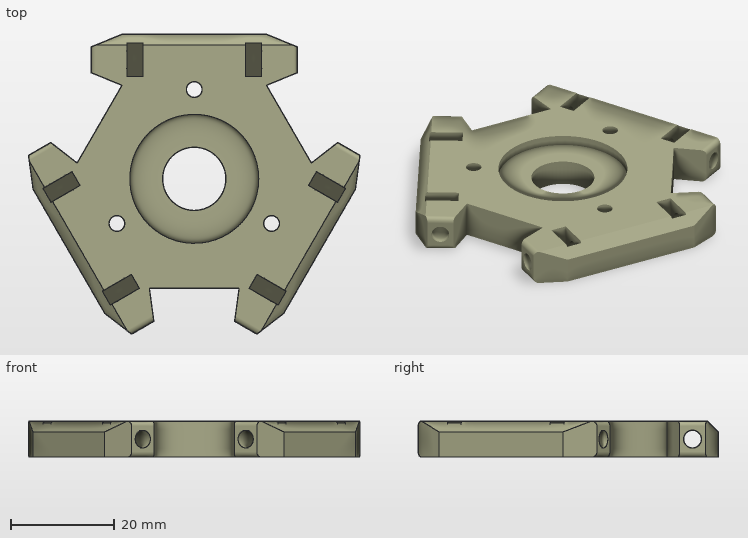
import math

import cadquery as cq

ARM_COUNT = 3
ARM_ANGLE = 360 / ARM_COUNT
THICKNESS = 7.0
WEB_DISTANCE = 21.2

ARM_LENGTH = 40.0
ARM_CENTER_Y = 23.056
ARM_WIDTH = 10.0
ARM_OUTER_Y = ARM_CENTER_Y + ARM_WIDTH / 2
ARM_EDGE_LENGTH = 27.8
TIP_WIDTH = 5.0
TIP_FILLET = 1.0
BEVEL = 2.1

SCREW_DIAMETER = 3.4
SCREW_HEIGHT = THICKNESS / 2
SLOT_SPACING = 23.0
SLOT_WIDTH = 3.1
SLOT_LENGTH = 6.5
SLOT_DEPTH = 6.0

BORE_DIAMETER = 12.2
RECESS_DIAMETER = 25.0
RECESS_DEPTH = 2.0
MOUNT_DIAMETER = 3.0
MOUNT_RADIUS = 17.3


def rotate_point(point, degrees):
    """Turn an XY point about the origin."""
    angle = math.radians(degrees)
    x, y = point
    return (x * math.cos(angle) - y * math.sin(angle), x * math.sin(angle) + y * math.cos(angle))


def on_each_arm(shape):
    """Copies of a shape, one for each arm."""
    return [shape.rotate((0, 0, 0), (0, 0, 1), i * ARM_ANGLE) for i in range(ARM_COUNT)]


def arm_outline():
    """Outline points of the +Y arm, from its right neck corner to its left one."""
    tip_x = ARM_LENGTH / 2
    edge_x = ARM_EDGE_LENGTH / 2
    tip_outer_y = ARM_CENTER_Y + TIP_WIDTH / 2
    tip_inner_y = ARM_CENTER_Y - TIP_WIDTH / 2

    web_angle = math.radians(90 - ARM_ANGLE / 2)
    slope = (ARM_OUTER_Y - tip_outer_y) / (tip_x - edge_x)
    tip_to_web = tip_x * math.cos(web_angle) + tip_inner_y * math.sin(web_angle) - WEB_DISTANCE
    run = tip_to_web / (math.cos(web_angle) + slope * math.sin(web_angle))
    neck = (tip_x - run, tip_inner_y - slope * run)

    right = [neck, (tip_x, tip_inner_y), (tip_x, tip_outer_y), (edge_x, ARM_OUTER_Y)]
    left = [(-x, y) for x, y in reversed(right)]
    return right + left


def make_plate():
    """Flat plate with rounded upper and lower edges on the arm tips."""
    points = [
        rotate_point(point, i * ARM_ANGLE)
        for i in range(ARM_COUNT)
        for point in arm_outline()
    ]
    plate = cq.Workplane("XY").polyline(points).close().extrude(THICKNESS)
    for arm in range(ARM_COUNT):
        x, y = rotate_point((0, 1), arm * ARM_ANGLE)
        across_arm = cq.selectors.ParallelDirSelector(cq.Vector(x, y, 0))
        plate = plate.edges(across_arm).fillet(TIP_FILLET)
    return plate


def bevel_cutter():
    """Triangular prism that bevels the upper outer edge of the +Y arm."""
    return (
        cq.Workplane("YZ")
        .moveTo(ARM_OUTER_Y - BEVEL, THICKNESS)
        .lineTo(ARM_OUTER_Y, THICKNESS)
        .lineTo(ARM_OUTER_Y, THICKNESS - BEVEL)
        .close()
        .extrude(ARM_LENGTH / 2, both=True)
    )


def screw_hole_cutter():
    """Cylinder along X through the whole +Y arm."""
    return (
        cq.Workplane("YZ")
        .center(ARM_CENTER_Y, SCREW_HEIGHT)
        .circle(SCREW_DIAMETER / 2)
        .extrude(ARM_LENGTH / 2, both=True)
    )


def nut_slot_cutter():
    """Pair of rectangular slots in the top of the +Y arm."""
    return (
        cq.Workplane("XY")
        .workplane(offset=THICKNESS - SLOT_DEPTH)
        .pushPoints([(side * SLOT_SPACING / 2, ARM_CENTER_Y) for side in (-1, 1)])
        .rect(SLOT_WIDTH, SLOT_LENGTH)
        .extrude(SLOT_DEPTH)
    )


def mount_hole_cutter():
    """Vertical through hole on the centre line of the +Y arm."""
    return cq.Workplane("XY").center(0, MOUNT_RADIUS).circle(MOUNT_DIAMETER / 2).extrude(THICKNESS)


def center_cutter():
    """Through bore with a shallow round recess at the top."""
    bore = cq.Workplane("XY").circle(BORE_DIAMETER / 2).extrude(THICKNESS)
    recess = (
        cq.Workplane("XY")
        .workplane(offset=THICKNESS - RECESS_DEPTH)
        .circle(RECESS_DIAMETER / 2)
        .extrude(RECESS_DEPTH)
    )
    return bore.union(recess)


result = make_plate().cut(center_cutter())
for cutter in (bevel_cutter(), screw_hole_cutter(), nut_slot_cutter(), mount_hole_cutter()):
    for arm_cutter in on_each_arm(cutter):
        result = result.cut(arm_cutter)